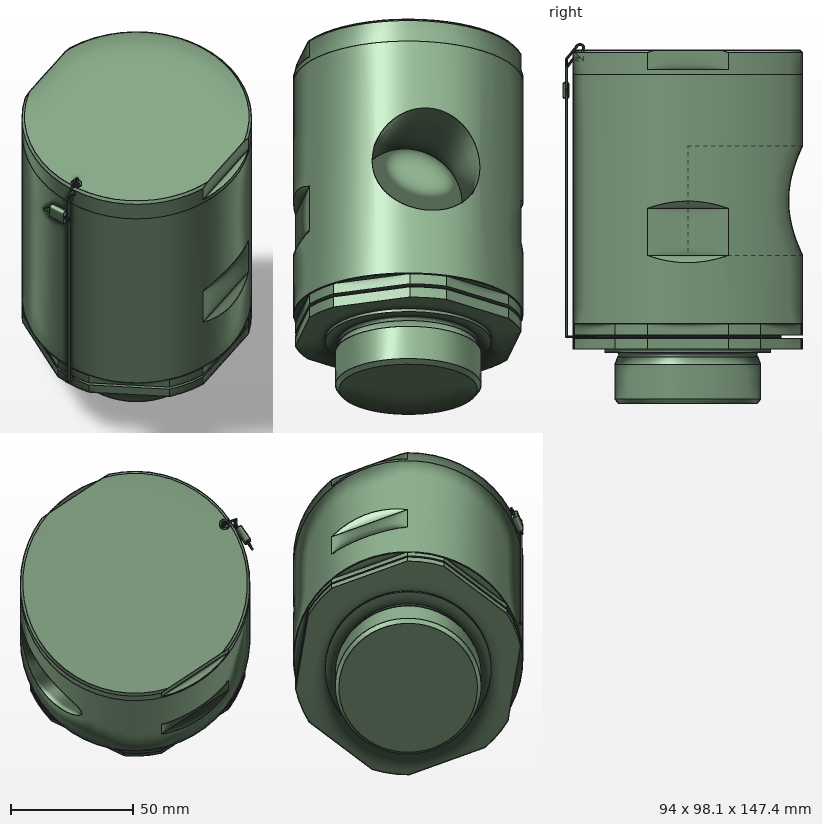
import cadquery as cq

body_radius = 47.0
flat_distance = 88.0 / 2
body_bottom_z = 32.5
body_edge_chamfer = 0.3
split_z = 134.7
cap_top_z = 144.7
overall_height = 147.4
cut_margin = 1.5

cap_chamfer = 1.0
cap_flat_bottom_z = 136.7
seal_hole_diameter = 3.0
seal_hole_chamfer = 0.7
seal_hole_y = -44.2
seal_hole_z = 141.8

recess_bottom_z = 60.7
recess_top_z = 79.9
recess_depth = body_radius - flat_distance
port_diameter = 44.8
port_z = 83.1

flange_bottom_z = 22.2
groove_z = 27.4
groove_width = 1.3
groove_diameter = 75.0

collar_diameter = 68.0
collar_bottom_z = 20.9
neck_radius = 56.5 / 2
neck_edge_radius = 28.7
neck_bottom_z = 19.0
thread_radius = 59.7 / 2
thread_top_z = 16.0
end_chamfer_width = 1.5
end_chamfer_height = 1.9

wire_diameter = 0.69
wire_radius = wire_diameter / 2
ring_radius = 37.9
plain_strand_top_z = 137.6
loop_shoulder_z = 141.0
plain_strand_y = -49.5
loop_strand_y = -49.7
hole_mouth_z = 141.0
loop_slope_y = -45.7
loop_end_y = -42.6
loop_bend_z = 145.9
loop_peak_y = (loop_slope_y + loop_end_y) / 2
loop_peak_z = overall_height - wire_radius
loop_tip_y = -43.6
loop_tip_z = 143.0
tag_size = 6.8
tag_thickness = 2.5
tag_left_x = -8.5
tag_bottom_z = 124.8
tag_front_y = -51.1
tag_edge_radius = 1.0
wire_ends = [(-10.6, 128.5), (-12.1, 127.0)]
wire_end_y = -49.8


def cylinder(radius, bottom_z, top_z):
    """Upright cylinder on the Z axis."""
    return cq.Workplane("XY").workplane(offset=bottom_z).circle(radius).extrude(top_z - bottom_z)


def wrench_recess(side):
    """Flat-bottomed recess across one X side, with 45 degree ends."""
    flare = recess_depth + cut_margin
    flat_x = side * flat_distance
    outer_x = side * (flat_distance + flare)
    return (
        cq.Workplane("XZ")
        .moveTo(flat_x, recess_bottom_z)
        .lineTo(outer_x, recess_bottom_z - flare)
        .lineTo(outer_x, recess_top_z + flare)
        .lineTo(flat_x, recess_top_z)
        .close()
        .extrude(body_radius, both=True)
    )


def make_flange():
    """Hexagon with rounded corners, flats on the X sides, and a wire groove around it."""
    height = body_bottom_z - flange_bottom_z
    hexagon = (
        cq.Workplane("XY")
        .workplane(offset=flange_bottom_z)
        .polygon(6, 2 * flat_distance, circumscribed=True)
        .extrude(height)
    )
    flange = hexagon.intersect(cylinder(body_radius, flange_bottom_z, body_bottom_z))
    groove_bottom_z = groove_z - groove_width / 2
    groove_top_z = groove_z + groove_width / 2
    groove = cylinder(body_radius + cut_margin, groove_bottom_z, groove_top_z).cut(
        cylinder(groove_diameter / 2, groove_bottom_z, groove_top_z)
    )
    return flange.cut(groove)


def make_spigot():
    """Collar, rounded undercut and chamfered thread below the flange."""
    collar_radius = collar_diameter / 2
    return (
        cq.Workplane("XZ")
        .moveTo(0, 0)
        .lineTo(thread_radius - end_chamfer_width, 0)
        .lineTo(thread_radius, end_chamfer_height)
        .lineTo(thread_radius, thread_top_z)
        .lineTo(neck_edge_radius, neck_bottom_z)
        .threePointArc(
            (neck_radius, (neck_bottom_z + collar_bottom_z) / 2),
            (neck_edge_radius, collar_bottom_z),
        )
        .lineTo(collar_radius, collar_bottom_z)
        .lineTo(collar_radius, flange_bottom_z)
        .lineTo(0, flange_bottom_z)
        .close()
        .revolve(360, (0, 0, 0), (0, 1, 0))
    )


def make_housing():
    housing = cylinder(body_radius, body_bottom_z, split_z).faces("<Z").chamfer(body_edge_chamfer)
    for side in (-1, 1):
        housing = housing.cut(wrench_recess(side))
    port = (
        cq.Workplane("XZ")
        .center(0, port_z)
        .circle(port_diameter / 2)
        .extrude(-2 * body_radius)
    )
    return housing.cut(port).union(make_flange()).union(make_spigot())


def make_seal_hole():
    """Round passage through the rim: level from the side, then upright to the top."""
    path = (
        cq.Workplane("YZ")
        .moveTo(-body_radius - cut_margin, seal_hole_z)
        .lineTo(seal_hole_y, seal_hole_z)
        .lineTo(seal_hole_y, cap_top_z + cut_margin)
    )
    mouth = cq.Workplane("XZ", origin=(0, -body_radius - cut_margin, seal_hole_z))
    passage = mouth.circle(seal_hole_diameter / 2).sweep(path, transition="right")
    countersink = cq.Workplane(
        cq.Solid.makeCone(
            seal_hole_diameter / 2,
            seal_hole_diameter / 2 + seal_hole_chamfer,
            seal_hole_chamfer,
            cq.Vector(0, seal_hole_y, cap_top_z - seal_hole_chamfer),
        )
    )
    return passage.union(countersink)


def make_cap():
    cap = cylinder(body_radius, split_z, cap_top_z).faces(">Z").chamfer(cap_chamfer)
    flat_height = cap_top_z - cap_flat_bottom_z
    for side in (-1, 1):
        flat = cq.Workplane("XY").box(
            2 * recess_depth, 2 * body_radius, flat_height, centered=(True, True, False)
        ).translate((side * (flat_distance + recess_depth), 0, cap_flat_bottom_z))
        cap = cap.cut(flat)
    return cap.cut(make_seal_hole())


def start_strand(x, upright_y, upright_top_z):
    """Path of one strand from the ring, out of the groove and up the side."""
    return (
        cq.Workplane("YZ", origin=(x, 0, 0))
        .moveTo(-ring_radius, groove_z)
        .lineTo(upright_y, groove_z)
        .lineTo(upright_y, upright_top_z)
    )


def sweep_strand(x, path):
    """Round wire along a strand's path."""
    profile = cq.Workplane("XZ", origin=(x, -ring_radius, groove_z)).circle(wire_radius)
    return profile.sweep(path, transition="round")


def make_plain_strand():
    """Strand from the ring, up the side and into the level hole of the cap."""
    x = wire_radius
    path = (
        start_strand(x, plain_strand_y, plain_strand_top_z)
        .lineTo(-body_radius, hole_mouth_z)
        .lineTo(seal_hole_y, seal_hole_z)
    )
    return sweep_strand(x, path)


def make_looped_strand():
    """Strand from the ring, up the side and over the rim into the upright hole of the cap."""
    x = -wire_radius
    path = (
        start_strand(x, loop_strand_y, loop_shoulder_z)
        .lineTo(loop_slope_y, loop_bend_z)
        .threePointArc((loop_peak_y, loop_peak_z), (loop_end_y, loop_bend_z))
        .lineTo(loop_tip_y, loop_tip_z)
    )
    return sweep_strand(x, path)


def make_tag():
    """Square tag with rounded top and bottom edges."""
    tag = cq.Workplane("XY").box(tag_size, tag_thickness, tag_size, centered=False)
    tag = tag.edges("|X").fillet(tag_edge_radius)
    return tag.translate((tag_left_x, tag_front_y, tag_bottom_z))


def make_seal():
    """Wire ring in the groove, two upright strands, the tag and the two loose wire ends."""
    seal = cq.Workplane(cq.Solid.makeTorus(ring_radius, wire_radius, cq.Vector(0, 0, groove_z)))
    seal = seal.union(make_plain_strand()).union(make_looped_strand()).union(make_tag())
    for end_x, end_z in wire_ends:
        loose_end = (
            cq.Workplane("YZ", origin=(end_x, wire_end_y, end_z))
            .circle(wire_radius)
            .extrude(wire_radius - end_x)
        )
        seal = seal.union(loose_end)
    return seal


housing = make_housing()
cap = make_cap()
seal = make_seal()
result = cq.Compound.makeCompound([body.solids().val() for body in (housing, cap, seal)])